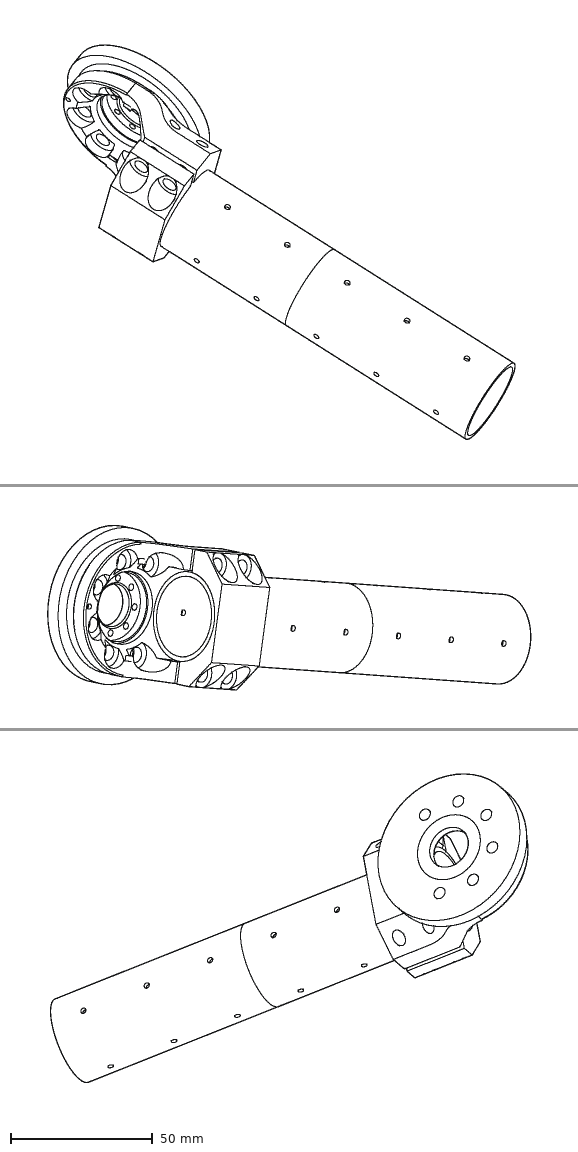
import cadquery as cq
import math

PITCH = 10.3
YAW = -9.19

FLANGE_R = 28.0
FLANGE_RIM = 5.5
FLANGE_DEPTH = 7.3
HUB_R = 12.4
HUB_DEPTH = 4.0
HUB_CHAMFER = 0.6
HUB_HOLE_DEPTH = 3.0
HUB_BORE_R = 7.6
HUB_HOLE_CIRCLE_R = 9.8
HUB_HOLE_D = 2.3

BOLT_COUNT = 8
BOLT_CIRCLE_R = 17.5
BOLT_START_ANGLE = 180 / BOLT_COUNT
CLEARANCE_D = 5.4
TAPPED_D = 4.3
COUNTERBORE_D = 9.4
FLANGE_COUNTERBORE_D = 10.0
FLANGE_SEAT_Y = -11.3

HALF_WIDTH = 24.0
BRACKET_BACK = -FLANGE_DEPTH
DISC_FRONT = -15.0
DISC_CHAMFER = FLANGE_DEPTH - FLANGE_RIM
RIM_CHAMFER = 0.6
ARM_START = -1.5
BRACKET_BORE_R = 13.0
RECESS_R = 18.3
POCKET_HALF_WIDTH = 16.3
PIN_HOLE_D = 1.8
PIN_HOLE_DEPTH = 1.5
PIN_CIRCLE_R = 22.0

CLAMP_START = 12.5
CLAMP_LENGTH = 23.0
CLAMP_END = CLAMP_START + CLAMP_LENGTH
CLAMP_CHAMFER = 10.0
TUBE_AXIS_Y = -27.1
SPLIT_GAP = 2.0
BRACKET_SPLIT = TUBE_AXIS_Y + SPLIT_GAP / 2
CAP_SPLIT = TUBE_AXIS_Y - SPLIT_GAP / 2
CAP_FRONT = CAP_SPLIT - 16.25
CAP_SEAT_Y = CAP_FRONT + CLAMP_CHAMFER
CLAMP_BOLT_PITCH = 12.0
CLAMP_BOLT_Z = 19.4
CLAMP_MIDDLE = CLAMP_START + CLAMP_LENGTH / 2
CLAMP_BOLT_POINTS = [
    (CLAMP_MIDDLE + side * CLAMP_BOLT_PITCH / 2, end * CLAMP_BOLT_Z)
    for side in (-1, 1)
    for end in (-1, 1)
]

BACK_BEND_START = (3.7, BRACKET_BACK - DISC_CHAMFER)
BACK_BEND_END = (21.3, BRACKET_BACK - CLAMP_CHAMFER)
FRONT_BEND_TOP = (3.0, -16.0)
FRONT_BEND_MIDDLE = (7.0, -19.0)
FRONT_BEND_END = (13.3, BRACKET_SPLIT)

INCH = 25.4
TUBE_COUNT = 2
TUBE_LENGTH = 3 * INCH
TUBE_R = 1.25 * INCH / 2
TUBE_WALL = 1.65
TUBE_HOLE_D = 2.0
TUBE_HOLE_PITCH = INCH

REACH = 60.0


def cylinder_y(x, z, diameter, front, back):
    """Cylinder along Y from `front` up to `back`."""
    axis = cq.Vector(0, 1, 0)
    return cq.Workplane(cq.Solid.makeCylinder(diameter / 2, back - front, cq.Vector(x, front, z), axis))


def cylinder_x(radius, start, length):
    """Cylinder on the tube axis."""
    base = cq.Vector(start, TUBE_AXIS_Y, 0)
    return cq.Workplane(cq.Solid.makeCylinder(radius, length, base, cq.Vector(1, 0, 0)))


def revolve_y(points):
    """Solid of revolution about the Y axis from (radius, Y) points."""
    return cq.Workplane("XY").polyline(points).close().revolve(360, (0, 0, 0), (0, 1, 0))


def circle_points(radius, count, start_angle):
    """(X, Z) points spaced evenly on a circle about the flange axis."""
    angles = [math.radians(start_angle + 360 * i / count) for i in range(count)]
    return [(radius * math.cos(angle), radius * math.sin(angle)) for angle in angles]


BOLT_POINTS = [
    (x, z)
    for x, z in circle_points(BOLT_CIRCLE_R, BOLT_COUNT, BOLT_START_ANGLE)
    if x < CLAMP_START
]


def make_flange():
    """Disc with a conical neck, a hub bore and tapped bolt holes."""
    neck_r = HALF_WIDTH - DISC_CHAMFER
    body = revolve_y([
        (HUB_R, 0),
        (FLANGE_R, 0),
        (FLANGE_R, -FLANGE_RIM),
        (HALF_WIDTH, -FLANGE_RIM),
        (neck_r, -FLANGE_DEPTH),
        (HUB_R, -FLANGE_DEPTH),
    ])
    for x, z in BOLT_POINTS:
        body = body.cut(cylinder_y(x, z, TAPPED_D, -FLANGE_DEPTH, 0))
    return body


def make_hub():
    """Ring inside the flange with a circle of small holes."""
    body = revolve_y([
        (HUB_BORE_R, 0),
        (HUB_R, 0),
        (HUB_R, -HUB_DEPTH),
        (HUB_BORE_R + HUB_CHAMFER, -HUB_DEPTH),
        (HUB_BORE_R, -HUB_DEPTH + HUB_CHAMFER),
    ])
    for x, z in circle_points(HUB_HOLE_CIRCLE_R, BOLT_COUNT, 0):
        body = body.cut(cylinder_y(x, z, HUB_HOLE_D, -HUB_DEPTH, HUB_HOLE_DEPTH - HUB_DEPTH))
    return body


def arm_chamfer():
    """45 degree cut behind the +Z arm that follows the back bend of the arm."""
    middle = [(a + b) / 2 for a, b in zip(BACK_BEND_START, BACK_BEND_END)]
    behind = (
        cq.Workplane("XY", origin=(0, 0, HALF_WIDTH))
        .moveTo(ARM_START, BACK_BEND_START[1])
        .lineTo(*BACK_BEND_START)
        .tangentArcPoint(middle, relative=False)
        .tangentArcPoint(BACK_BEND_END, relative=False)
        .lineTo(CLAMP_END, BACK_BEND_END[1])
        .lineTo(CLAMP_END, 0)
        .lineTo(ARM_START, 0)
        .close()
    )
    sweep = CLAMP_CHAMFER + 1
    near = behind.wire().val()
    far = near.translate(cq.Vector(0, sweep, -sweep))
    return cq.Workplane(cq.Solid.makeLoft([near, far], True))


def hub_opening(front):
    """Bore over the hub that flares out at 45 degrees as far as `front`."""
    flare_bottom = DISC_FRONT + RECESS_R - BRACKET_BORE_R
    return revolve_y([
        (0, BRACKET_BACK),
        (BRACKET_BORE_R, BRACKET_BACK),
        (BRACKET_BORE_R, flare_bottom),
        (BRACKET_BORE_R + flare_bottom - front, front),
        (0, front),
    ])


def make_bracket():
    """Disc on the flange, two bent arms and the back half of the clamp."""
    disc = revolve_y([
        (0, BRACKET_BACK),
        (HALF_WIDTH - DISC_CHAMFER, BRACKET_BACK),
        (HALF_WIDTH, BRACKET_BACK - DISC_CHAMFER),
        (HALF_WIDTH, DISC_FRONT + RIM_CHAMFER),
        (HALF_WIDTH - RIM_CHAMFER, DISC_FRONT),
        (0, DISC_FRONT),
    ])
    arms = (
        cq.Workplane("XY")
        .moveTo(ARM_START, DISC_FRONT)
        .threePointArc(FRONT_BEND_TOP, FRONT_BEND_MIDDLE)
        .tangentArcPoint(FRONT_BEND_END, relative=False)
        .lineTo(CLAMP_END, BRACKET_SPLIT)
        .lineTo(CLAMP_END, BRACKET_BACK)
        .lineTo(ARM_START, BRACKET_BACK)
        .close()
        .extrude(HALF_WIDTH, both=True)
    )
    chamfer = arm_chamfer()
    body = disc.union(arms).cut(chamfer).cut(chamfer.mirror("XY"))

    body = body.cut(hub_opening(DISC_FRONT))

    slab = cq.Workplane("XY").box(2 * REACH, 2 * REACH, 2 * POCKET_HALF_WIDTH)
    body = body.cut(hub_opening(CAP_FRONT).intersect(slab))

    body = body.cut(cylinder_x(TUBE_R, CLAMP_START, CLAMP_LENGTH))

    for x, z in BOLT_POINTS:
        body = body.cut(cylinder_y(x, z, CLEARANCE_D, FLANGE_SEAT_Y, BRACKET_BACK))
        body = body.cut(cylinder_y(x, z, FLANGE_COUNTERBORE_D, CAP_FRONT, FLANGE_SEAT_Y))
    for x, z in CLAMP_BOLT_POINTS:
        body = body.cut(cylinder_y(x, z, TAPPED_D, BRACKET_SPLIT, BRACKET_BACK))
    pin_back = DISC_FRONT + PIN_HOLE_DEPTH
    return body.cut(cylinder_y(-PIN_CIRCLE_R, 0, PIN_HOLE_D, DISC_FRONT, pin_back))


def make_cap():
    """Front half of the clamp, with bolt heads sunk into its chamfers."""
    body = (
        cq.Workplane("XY")
        .box(CLAMP_LENGTH, CAP_SPLIT - CAP_FRONT, 2 * HALF_WIDTH, centered=(False, False, True))
        .translate((CLAMP_START, CAP_FRONT, 0))
        .faces("<Y").edges("|X").chamfer(CLAMP_CHAMFER)
    )
    body = body.cut(cylinder_x(TUBE_R, CLAMP_START, CLAMP_LENGTH))
    for x, z in CLAMP_BOLT_POINTS:
        body = body.cut(cylinder_y(x, z, CLEARANCE_D, CAP_SEAT_Y, CAP_SPLIT))
        body = body.cut(cylinder_y(x, z, COUNTERBORE_D, CAP_FRONT, CAP_SEAT_Y))
    return body


def make_tube(index):
    """One tube length with four rows of cross holes; the tubes stand end to end."""
    start = CLAMP_START + index * TUBE_LENGTH
    body = cylinder_x(TUBE_R, start, TUBE_LENGTH)
    body = body.cut(cylinder_x(TUBE_R - TUBE_WALL, start, TUBE_LENGTH))
    for hole in range(round(TUBE_LENGTH / TUBE_HOLE_PITCH)):
        x = start + (hole + 0.5) * TUBE_HOLE_PITCH
        along_y = cylinder_y(x, 0, TUBE_HOLE_D, TUBE_AXIS_Y - TUBE_R, TUBE_AXIS_Y + TUBE_R)
        along_z = along_y.rotate((0, TUBE_AXIS_Y, 0), (1, TUBE_AXIS_Y, 0), 90)
        body = body.cut(along_y).cut(along_z)
    return body


def to_final_attitude(body):
    """Turn a body from the working frame into its final attitude."""
    return body.rotate((0, 0, 0), (0, 1, 0), PITCH).rotate((0, 0, 0), (0, 0, 1), YAW)


flange = make_flange()
hub = make_hub()
bracket = make_bracket()
cap = make_cap()
tubes = [make_tube(index) for index in range(TUBE_COUNT)]

bodies = [flange, hub, bracket, cap, *tubes]
result = cq.Compound.makeCompound([to_final_attitude(body).val() for body in bodies])